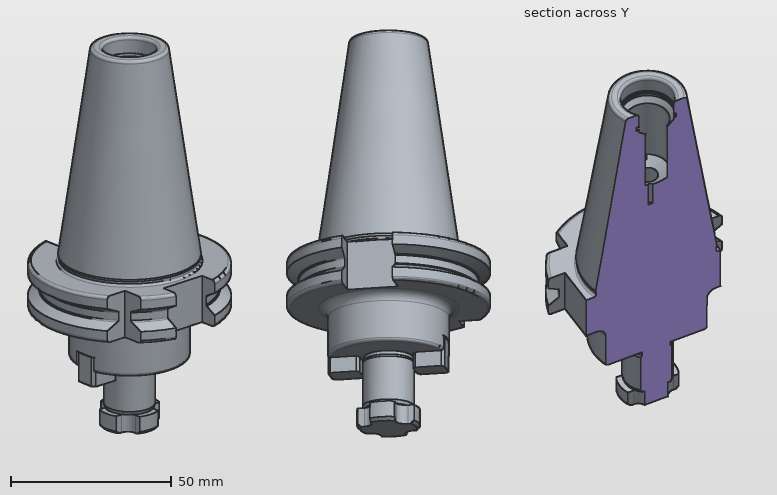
import cadquery as cq
import math

total_height = 126.4

head_radius = 9.9
head_height = 6.1
head_edge_chamfer = 1.0
lobe_half_width = 3.9
notch_corner_radius = 3.0

pilot_radius = 8.1
pilot_bottom = 7.2
pilot_top = 21.2
pilot_relief_bottom = 22.0
relief_radius = 7.7

collar_radius = 19.0
collar_bottom = 23.1
collar_edge_radius = 1.0
collar_root_radius = 3.0
key_width = 8.1
key_bottom = 18.2
key_top = 28.0
key_inner = 8.6
key_outer = 18.6
key_chamfer_width = 1.1
key_chamfer_depth = 0.9

flange_diameter = 63.6
flange_radius = flange_diameter / 2
flange_bottom = 39.2
flange_top = 54.7
flange_edge_radius = 1.0
groove_floor_radius = 28.0
groove_center = 46.9
groove_floor_width = 3.2
groove_corner_radius = 0.5
groove_wall_angle = 30.0
slot_width = 16.2
left_slot_floor = 22.8
right_slot_floor = 24.9
corner_notch = 18.5

taper_ratio = 7 / 24
taper_bottom = 57.0
taper_base_radius = 22.4
taper_edge_radius = 1.1
neck_radius = 22.1
neck_top = 56.2
neck_root_radius = 0.8

socket_radius = 8.5
socket_edge_radius = 1.0
socket_groove_radius = 9.1
socket_groove_top_depth = 5.5
socket_groove_bottom_depth = 6.8
socket_depth = 7.7
stud_hole_radius = 7.0
stud_hole_start_depth = 9.6
stud_hole_depth = 31.6
drill_point_angle = 118.0
center_hole_radius = 3.3
center_hole_depth = 40.5
coolant_hole_radius = 0.7
coolant_hole_offset = 6.2
coolant_hole_angle = 70.0

clearance = 0.6

taper_top_radius = taper_base_radius - (total_height - taper_bottom) * taper_ratio / 2
drill_point_height = (stud_hole_radius - center_hole_radius) / math.tan(math.radians(drill_point_angle / 2))
groove_wall_height = (flange_radius - groove_floor_radius) * math.tan(math.radians(groove_wall_angle))
groove_floor_bottom = groove_center - groove_floor_width / 2
groove_floor_top = groove_center + groove_floor_width / 2
DIAGONAL = math.sqrt(0.5)


def round_corner(outline, center, radius, start, end):
    """Continue an outline with a quarter arc between two axis directions seen from its center."""
    def at(direction):
        return (center[0] + radius * direction[0], center[1] + radius * direction[1])

    middle = (DIAGONAL * (start[0] + end[0]), DIAGONAL * (start[1] + end[1]))
    return outline.lineTo(*at(start)).threePointArc(at(middle), at(end))


OUT, IN, UP, DOWN = (1, 0), (-1, 0), (0, 1), (0, -1)


def make_body():
    """Revolved outline of the whole holder, in (radius, height) from the axis up and back."""
    p = cq.Workplane("XZ").moveTo(0, 0)

    p = p.lineTo(head_radius - head_edge_chamfer, 0)
    p = p.lineTo(head_radius, head_edge_chamfer)
    p = p.lineTo(head_radius, head_height)
    p = p.lineTo(relief_radius, head_height)
    p = p.lineTo(pilot_radius, pilot_bottom)
    p = p.lineTo(pilot_radius, pilot_top)
    p = p.lineTo(relief_radius, pilot_relief_bottom)
    p = p.lineTo(relief_radius, collar_bottom)
    r = collar_edge_radius
    p = round_corner(p, (collar_radius - r, collar_bottom + r), r, DOWN, OUT)
    r = collar_root_radius
    p = round_corner(p, (collar_radius + r, flange_bottom - r), r, IN, UP)

    r = flange_edge_radius
    p = round_corner(p, (flange_radius - r, flange_bottom + r), r, DOWN, OUT)
    p = p.lineTo(flange_radius, groove_floor_bottom - groove_wall_height)
    p = p.lineTo(groove_floor_radius, groove_floor_bottom)
    p = p.lineTo(groove_floor_radius, groove_floor_top)
    p = p.lineTo(flange_radius, groove_floor_top + groove_wall_height)
    p = round_corner(p, (flange_radius - r, flange_top - r), r, OUT, UP)

    r = neck_root_radius
    p = round_corner(p, (neck_radius + r, flange_top + r), r, DOWN, IN)
    p = p.lineTo(neck_radius, neck_top)
    p = p.lineTo(taper_base_radius, taper_bottom)
    p = p.lineTo(taper_top_radius, total_height)

    p = p.lineTo(socket_radius, total_height)
    p = p.lineTo(socket_radius, total_height - socket_groove_top_depth)
    p = p.lineTo(socket_groove_radius, total_height - socket_groove_top_depth)
    p = p.lineTo(socket_groove_radius, total_height - socket_groove_bottom_depth)
    p = p.lineTo(socket_radius, total_height - socket_groove_bottom_depth)
    p = p.lineTo(socket_radius, total_height - socket_depth)
    p = p.lineTo(stud_hole_radius, total_height - stud_hole_start_depth)
    p = p.lineTo(stud_hole_radius, total_height - stud_hole_depth)
    p = p.lineTo(center_hole_radius, total_height - stud_hole_depth - drill_point_height)
    p = p.lineTo(center_hole_radius, total_height - center_hole_depth)
    p = p.lineTo(0, total_height - center_hole_depth)
    body = p.close().revolve(360, (0, 0, 0), (0, 1, 0))

    floor_zone = cq.selectors.BoxSelector(
        (-flange_radius, -flange_radius, groove_floor_bottom - clearance),
        (flange_radius, flange_radius, groove_floor_top + clearance),
        boundingbox=True,
    )
    body = body.edges(floor_zone).edges("%CIRCLE").fillet(groove_corner_radius)

    outer_rim = cq.selectors.RadiusNthSelector(1)
    body = body.faces(">Z").edges(outer_rim).fillet(taper_edge_radius)
    inner_rim = cq.selectors.RadiusNthSelector(0)
    return body.faces(">Z").edges(inner_rim).fillet(socket_edge_radius)


def box(x_range, y_range, z_range):
    """Axis-aligned block between the given limits."""
    (x0, x1), (y0, y1), (z0, z1) = x_range, y_range, z_range
    return cq.Workplane("XY").box(x1 - x0, y1 - y0, z1 - z0, centered=False).translate((x0, y0, z0))


def cut_head_notches(body):
    """Four round-cornered notches that leave a cross-shaped screw head."""
    span = (lobe_half_width, head_radius)
    notch = box(span, span, (0, head_height))
    notch = notch.edges("|Z and <X and <Y").fillet(notch_corner_radius)
    for quarter in range(4):
        body = body.cut(notch.rotate((0, 0, 0), (0, 0, 1), 90 * quarter))
    return body


def add_drive_keys(body):
    """Two keys on the Y axis, set into shallow pockets in the collar wall."""
    half = key_width / 2
    pocket_depths = (key_outer - key_chamfer_depth, collar_radius + clearance)
    pocket = box((-half, half), pocket_depths, (collar_bottom, key_top))

    face_half = half - key_chamfer_width
    right_side = [
        (face_half, key_inner),
        (half, key_inner + key_chamfer_depth),
        (half, key_outer - key_chamfer_depth),
        (face_half, key_outer),
    ]
    left_side = [(-x, y) for x, y in reversed(right_side)]
    key = cq.Workplane("XY", origin=(0, 0, key_bottom)).polyline(right_side + left_side).close()
    key = key.extrude(key_top - key_bottom)
    for angle in (0, 180):
        body = body.cut(pocket.rotate((0, 0, 0), (0, 0, 1), angle))
        body = body.union(key.rotate((0, 0, 0), (0, 0, 1), angle))
    return body


def cut_flange_slots(body):
    """Two drive slots of unequal depth and the locating notch at the +X -Y corner."""
    heights = (flange_bottom, flange_top)
    slot = (-slot_width / 2, slot_width / 2)
    body = body.cut(box((-flange_radius - clearance, -left_slot_floor), slot, heights))
    body = body.cut(box((right_slot_floor, flange_radius + clearance), slot, heights))
    outside = (corner_notch, flange_radius)
    return body.cut(box(outside, (-flange_radius, -corner_notch), heights))


def cut_coolant_holes(body):
    """Two small blind holes on opposite sides of the drill point of the stud hole."""
    holes = (
        cq.Workplane("XY", origin=(0, 0, total_height - center_hole_depth))
        .polarArray(coolant_hole_offset, coolant_hole_angle, 360, 2)
        .circle(coolant_hole_radius)
        .extrude(center_hole_depth - stud_hole_depth)
    )
    return body.cut(holes)


result = make_body()
result = cut_head_notches(result)
result = add_drive_keys(result)
result = cut_flange_slots(result)
result = cut_coolant_holes(result)